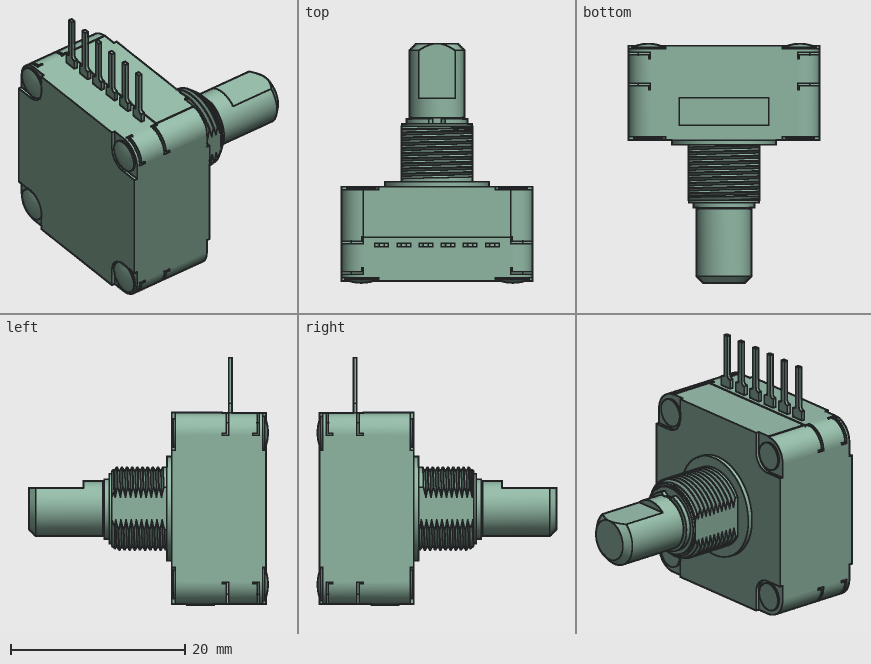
import cadquery as cq
import math


BODY_SIDE = 21.97
BODY_HALF = BODY_SIDE / 2
BODY_DEPTH = 10.86
CORNER_RADIUS = 2.54
FLAT_HALF = BODY_HALF - CORNER_RADIUS

RIVET_CENTER = 8.71
RECESS_RADIUS = 2.0
RECESS_DEPTH = 0.39
RIVET_HEAD_RADIUS = 1.89
RIVET_RIM_HEIGHT = 0.2
RIVET_PROUD = 0.23
RIVET_TAIL_RADIUS = 1.64
RIVET_TAIL_HEIGHT = 0.2

GAP_WIDTH = 0.28
GAP_STARTS = (0.78, 4.31)
GAP_CORE_HALF = 9.86
RELIEF_WIDTH = 0.2
RELIEF_LENGTH = 0.48

TOP_PAD_START = 5.05
TOP_PAD_HEIGHT = 0.08
BOTTOM_PAD_HALF_WIDTH = 5.15
BOTTOM_PAD_START = 6.0
BOTTOM_PAD_END = 9.14
BOTTOM_PAD_HEIGHT = 0.095

PIN_COUNT = 6
PIN_PITCH = 2.54
PIN_WIDTH = 0.58
PIN_THICKNESS = 0.41
PIN_REAR = 3.92
PIN_TOP = 17.35
SHOULDER_WIDTH = 1.55
SHOULDER_HEIGHT = 1.1
SHOULDER_FILLET = 0.42
PIN_EMBED = 1.1

FLANGE_RADIUS = 6.0
FLANGE_END = 11.42
THREAD_RADIUS = 4.76
THREAD_PITCH = 0.592
THREAD_DEPTH = 0.47
THREAD_START = 11.694
THREAD_FULL_END = 17.17
THREAD_END = 17.77
GROOVE_OVERSHOOT = 0.03
TURN_CLEARANCE = 0.02
THREAD_TIP_RADIUS = 4.28
BUSHING_FLAT_HALF = 4.09
NOSE_RADIUS = 4.03
NOSE_END = 18.06

NECK_RADIUS = 2.95
RING_RADIUS = 3.52
RING_END = 18.63
RING_GAP_HALF = 0.5
OVERALL_LENGTH = 27.51
SHAFT_RADIUS = 3.175
SHAFT_START = 18.77
SHAFT_END = OVERALL_LENGTH - RIVET_PROUD
SHAFT_CHAMFER = 0.78
D_FLAT_HEIGHT = 2.39
D_FLAT_START = 21.0

CORNERS = [(sx, sz) for sx in (-1, 1) for sz in (-1, 1)]


def block(x0, x1, y0, y1, z0, z1):
    """Box between two corner points, given in any order along each axis."""
    center = ((x0 + x1) / 2, (y0 + y1) / 2, (z0 + z1) / 2)
    return cq.Workplane("XY").box(abs(x1 - x0), abs(y1 - y0), abs(z1 - z0)).translate(center)


def disc(radius, y0, y1, x=0, z=0):
    """Cylinder along Y centred on (x, z)."""
    plane = cq.Workplane("XZ", origin=(x, y0, z))
    return plane.circle(radius).extrude(-(y1 - y0))


def corner_recess(sx, sz, y0):
    """Pocket in one corner, rounded concentrically with the rivet."""
    inner = RIVET_CENTER - RECESS_RADIUS
    pocket = block(inner, BODY_HALF, y0, y0 + RECESS_DEPTH, inner, BODY_HALF)
    pocket = pocket.edges("|Y and <X and <Z").fillet(RECESS_RADIUS)
    return place_in_corner(pocket, sx, sz)


def place_in_corner(shape, sx, sz):
    """Mirror a shape made for the +X +Z corner into the corner (sx, sz)."""
    if sx < 0:
        shape = shape.mirror("YZ")
    if sz < 0:
        shape = shape.mirror("XY")
    return shape


def layer_gap(y0):
    """Thin slot around the +X +Z corner, with a small relief at each end."""
    y1 = y0 + GAP_WIDTH
    gap = block(FLAT_HALF, BODY_HALF, y0, y1, FLAT_HALF, BODY_HALF)
    gap = gap.cut(block(0, GAP_CORE_HALF, y0, y1, 0, GAP_CORE_HALF))
    relief_edge = FLAT_HALF + RELIEF_WIDTH
    relief_end = y1 + RELIEF_LENGTH
    top_relief = block(FLAT_HALF, relief_edge, y0, relief_end, GAP_CORE_HALF, BODY_HALF)
    side_relief = block(GAP_CORE_HALF, BODY_HALF, y0, relief_end, FLAT_HALF, relief_edge)
    return gap.union(top_relief).union(side_relief)


def make_housing():
    body = block(-BODY_HALF, BODY_HALF, 0, BODY_DEPTH, -BODY_HALF, BODY_HALF)
    body = body.edges("|Y").fillet(CORNER_RADIUS)
    for sx, sz in CORNERS:
        body = body.cut(corner_recess(sx, sz, 0))
        body = body.cut(corner_recess(sx, sz, BODY_DEPTH - RECESS_DEPTH))
        for y0 in GAP_STARTS:
            body = body.cut(place_in_corner(layer_gap(y0), sx, sz))
    top_pad = block(
        -FLAT_HALF, FLAT_HALF, TOP_PAD_START, BODY_DEPTH, 0, BODY_HALF + TOP_PAD_HEIGHT
    )
    for sx in (-1, 1):
        pad_recess = corner_recess(sx, 1, BODY_DEPTH - RECESS_DEPTH)
        top_pad = top_pad.cut(pad_recess).cut(pad_recess.translate((0, 0, TOP_PAD_HEIGHT)))
    bottom_pad = block(
        -BOTTOM_PAD_HALF_WIDTH, BOTTOM_PAD_HALF_WIDTH, BOTTOM_PAD_START, BOTTOM_PAD_END,
        -BODY_HALF - BOTTOM_PAD_HEIGHT, 0,
    )
    return body.union(top_pad).union(bottom_pad)


def make_rivet(sx, sz):
    """Domed head in the rear recess and flat tail in the front recess."""
    rim = RECESS_DEPTH - RIVET_RIM_HEIGHT
    cap_height = rim + RIVET_PROUD
    sphere_radius = (RIVET_HEAD_RADIUS**2 + cap_height**2) / (2 * cap_height)
    half_angle = math.asin(RIVET_HEAD_RADIUS / sphere_radius) / 2
    mid_x = sphere_radius * math.sin(half_angle)
    mid_y = -RIVET_PROUD + sphere_radius * (1 - math.cos(half_angle))
    head = (
        cq.Workplane("XY")
        .moveTo(0, RECESS_DEPTH)
        .lineTo(RIVET_HEAD_RADIUS, RECESS_DEPTH)
        .lineTo(RIVET_HEAD_RADIUS, rim)
        .threePointArc((mid_x, mid_y), (0, -RIVET_PROUD))
        .close()
        .revolve(360, (0, 0, 0), (0, 1, 0))
        .translate((sx * RIVET_CENTER, 0, sz * RIVET_CENTER))
    )
    floor = BODY_DEPTH - RECESS_DEPTH
    tail = disc(
        RIVET_TAIL_RADIUS, floor, floor + RIVET_TAIL_HEIGHT, sx * RIVET_CENTER, sz * RIVET_CENTER
    )
    return head, tail


def make_pin(x):
    """Flat terminal with a filleted shoulder standing on the housing."""
    y1 = PIN_REAR + PIN_THICKNESS
    shoulder_top = BODY_HALF + SHOULDER_HEIGHT
    shoulder = block(
        x - SHOULDER_WIDTH / 2, x + SHOULDER_WIDTH / 2, PIN_REAR, y1, BODY_HALF - PIN_EMBED, shoulder_top
    )
    blade = block(x - PIN_WIDTH / 2, x + PIN_WIDTH / 2, PIN_REAR, y1, shoulder_top, PIN_TOP)
    pin = shoulder.union(blade)
    inner_edges = cq.selectors.BoxSelector(
        (x - PIN_WIDTH, PIN_REAR, shoulder_top - SHOULDER_FILLET),
        (x + PIN_WIDTH, y1, shoulder_top + SHOULDER_FILLET),
    )
    return pin.edges("|Y").edges(inner_edges).fillet(SHOULDER_FILLET)


def make_thread_groove():
    """Right-handed V groove swept along a helix about the Y axis."""
    half_width = (THREAD_PITCH - TURN_CLEARANCE) / 2
    root = THREAD_RADIUS - THREAD_DEPTH
    outer = THREAD_RADIUS + GROOVE_OVERSHOOT
    path = cq.Wire.makeHelix(THREAD_PITCH, THREAD_END + THREAD_PITCH - THREAD_START, root)
    profile = cq.Workplane("XZ").polyline([(root, 0), (outer, half_width), (outer, -half_width)]).close()
    groove = profile.sweep(cq.Workplane(obj=path), isFrenet=True)
    return groove.rotate((0, 0, 0), (1, 0, 0), -90).translate((0, THREAD_START, 0))


def make_bushing():
    bushing = (
        cq.Workplane("XY")
        .moveTo(0, BODY_DEPTH)
        .lineTo(THREAD_RADIUS, BODY_DEPTH)
        .lineTo(THREAD_RADIUS, THREAD_FULL_END)
        .lineTo(THREAD_TIP_RADIUS, THREAD_END)
        .lineTo(NOSE_RADIUS, THREAD_END)
        .lineTo(NOSE_RADIUS, NOSE_END)
        .lineTo(0, NOSE_END)
        .close()
        .revolve(360, (0, 0, 0), (0, 1, 0))
    )
    bushing = bushing.cut(make_thread_groove())
    width_limit = block(
        -BUSHING_FLAT_HALF, BUSHING_FLAT_HALF, 0, NOSE_END, -FLANGE_RADIUS, FLANGE_RADIUS
    )
    bushing = bushing.intersect(width_limit)
    return bushing.union(disc(FLANGE_RADIUS, BODY_DEPTH, FLANGE_END))


def make_ring():
    """Retaining ring whose gap at the top flares outward at 45 degrees."""
    flare = RING_RADIUS - NECK_RADIUS
    gap = (
        cq.Workplane("XZ", origin=(0, NOSE_END, 0))
        .moveTo(-RING_GAP_HALF, 0)
        .lineTo(RING_GAP_HALF, 0)
        .lineTo(RING_GAP_HALF, NECK_RADIUS)
        .lineTo(RING_GAP_HALF + flare, RING_RADIUS)
        .lineTo(-RING_GAP_HALF - flare, RING_RADIUS)
        .lineTo(-RING_GAP_HALF, NECK_RADIUS)
        .close()
        .extrude(-(RING_END - NOSE_END))
    )
    return disc(RING_RADIUS, NOSE_END, RING_END).cut(gap)


def make_shaft():
    shaft = disc(SHAFT_RADIUS, SHAFT_START, SHAFT_END).faces(">Y").chamfer(SHAFT_CHAMFER)
    flat_cut = block(
        -SHAFT_RADIUS, SHAFT_RADIUS, D_FLAT_START, SHAFT_END, D_FLAT_HEIGHT, SHAFT_RADIUS
    )
    return shaft.cut(flat_cut).union(disc(NECK_RADIUS, NOSE_END, SHAFT_START))


result = make_housing()
for corner_x, corner_z in CORNERS:
    for rivet_part in make_rivet(corner_x, corner_z):
        result = result.union(rivet_part)
for index in range(PIN_COUNT):
    result = result.union(make_pin((index - (PIN_COUNT - 1) / 2) * PIN_PITCH))
result = result.union(make_bushing()).union(make_ring()).union(make_shaft())